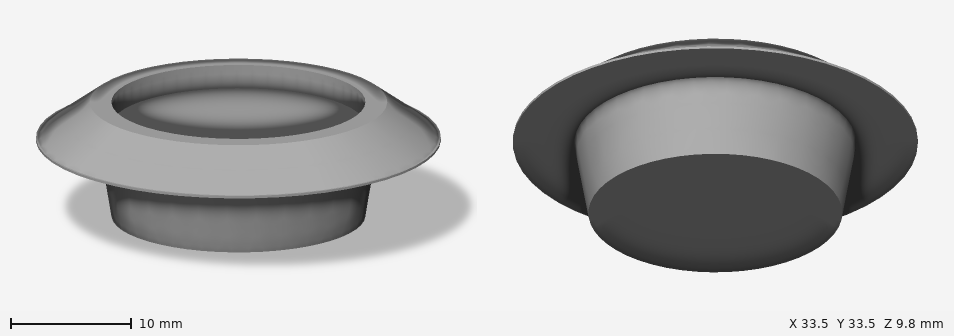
import cadquery as cq

flange_diameter = 33.5
total_height = 9.8

flange_thickness = 3.25
edge_thickness = 0.2
ledge_width = 0.2
rim_diameter = 24.62

plug_bottom_diameter = 21.0
plug_top_diameter = 23.3

recess_diameter = 21.0
recess_depth = 2.0

plug_height = total_height - flange_thickness
edge_top = plug_height + edge_thickness

profile = (
    cq.Workplane("XZ")
    .moveTo(0, 0)
    .lineTo(plug_bottom_diameter / 2, 0)
    .lineTo(plug_top_diameter / 2, plug_height)
    .lineTo(flange_diameter / 2, plug_height)
    .lineTo(flange_diameter / 2, edge_top)
    .lineTo(flange_diameter / 2 - ledge_width, edge_top)
    .lineTo(rim_diameter / 2, total_height)
    .lineTo(0, total_height)
    .close()
)
body = profile.revolve(360, (0, 0, 0), (0, 1, 0))

recess = (
    cq.Workplane("XY")
    .workplane(offset=total_height - recess_depth)
    .circle(recess_diameter / 2)
    .extrude(recess_depth)
)

result = body.cut(recess)